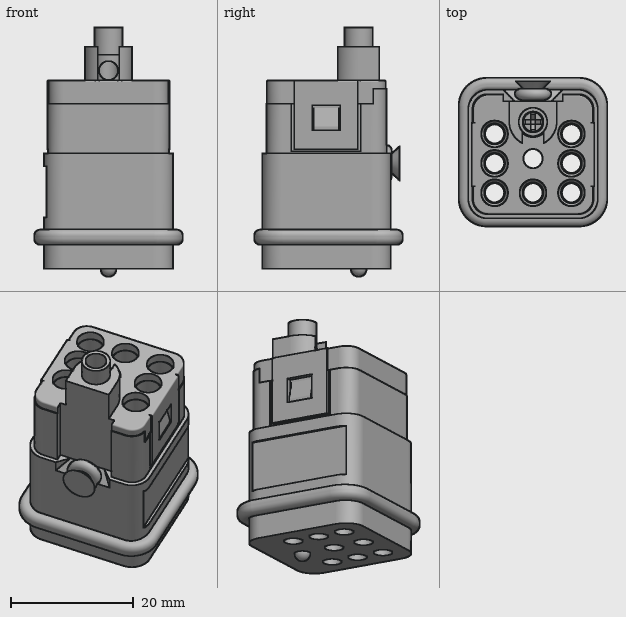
import cadquery as cq
import math

housing_y = -0.33
corner_centre = 7.35
base_x, base_y, base_top = 21.12, 21.0, 18.85
upper_x, upper_y, upper_top = 19.8, 19.6, 29.4
cap_x, cap_front, cap_back = 19.55, -10.1, 9.35
cap_bottom, housing_top = 26.95, 30.75
cap_edge_round = 0.3
cap_corner_radius = cap_x / 2 - corner_centre
wall_strip_y = 7.3

seal_size, seal_corner_radius = 24.3, 4.65
seal_width, seal_bottom, seal_height = 2.05, 3.9, 2.52
seal_outer_round, seal_inner_round = 1.05, 0.65

hole_pitch_x, hole_pitch_y = 6.25, 4.8
middle_row_y = -1.85
contact_top_diameter, contact_top_depth = 4.4, 1.6
contact_mid_diameter, contact_mid_depth = 4.3, 4.9
contact_cone_end_diameter, contact_cone_height = 3.4, 0.8
through_diameter = 3.1
centre_hole_y = -1.05

earth_y = 4.92
clamp_radius, clamp_back, clamp_top = 3.85, 8.3, 36.25
clamp_slot_width = 3.55
tube_diameter, tube_bore, tube_top = 4.65, 3.4, 39.4
sleeve_diameter, sleeve_top = 4.95, 34.92
cross_hole_diameter, cross_hole_z = 3.1, 32.35
screw_face_z, screw_edge_chamfer = 30.52, 0.12
drive_length, drive_width, drive_depth = 2.52, 0.77, 1.0
pin_diameter = 2.6

tab_face_x = 10.0
tab_front, tab_back, tab_bottom = -5.58, 4.75, 19.55
groove_width, groove_bottom_width, groove_depth = 0.53, 0.33, 0.35
window_front, window_back, window_bottom, window_top = -2.7, 1.9, 22.63, 26.7
window_depth = 0.9
latch_side_gap, latch_top_gap = 0.25, 0.5
latch_lip_height, latch_lip_setback = 0.55, 0.12

label_front, label_back, label_bottom, label_top = -9.25, 8.45, 8.4, 16.73
label_depth = 0.5

notch_width = 9.65
pocket_inner_width = 6.02
screw_z = 17.2
washer_diameter, washer_front, washer_back = 6.02, 8.45, 10.35
screw_head_diameter, screw_neck_diameter, screw_head_y = 5.6, 3.3, 11.6


def span_box(x0, x1, y0, y1, z0, z1):
    """Box between the given limits."""
    return cq.Workplane("XY").box(x1 - x0, y1 - y0, z1 - z0, centered=False).translate((x0, y0, z0))


def rounded_block(size_x, y0, y1, z0, z1, radius):
    """Block with round vertical edges, centred on X."""
    return span_box(-size_x / 2, size_x / 2, y0, y1, z0, z1).edges("|Z").fillet(radius)


def upright_cylinder(x, y, diameter, z0, z1):
    """Vertical cylinder between two heights."""
    return cq.Workplane("XY", origin=(x, y, z0)).circle(diameter / 2).extrude(z1 - z0)


def both_sides(shape):
    """The shape together with its mirror image across the YZ plane."""
    return shape.union(shape.mirror("YZ"))


def make_housing():
    """Base, upper body and cap."""
    base = rounded_block(base_x, housing_y - base_y / 2, housing_y + base_y / 2, 0, base_top,
                         base_x / 2 - corner_centre)
    upper = rounded_block(upper_x, housing_y - upper_y / 2, housing_y + upper_y / 2, 0, upper_top,
                          upper_x / 2 - corner_centre)
    upper = upper.cut(span_box(-base_x, base_x, -base_y, wall_strip_y, cap_bottom, upper_top))
    cap = rounded_block(cap_x, cap_front, cap_back, 0, housing_top, cap_corner_radius)
    cap = cap.faces(">Z").edges().fillet(cap_edge_round)
    return base.union(upper).union(cap)


def make_seal():
    """Closed band with rounded inner and outer edges."""
    outer = cq.Workplane("XY").box(seal_size, seal_size, seal_height).edges("|Z").fillet(seal_corner_radius)
    outer = outer.faces("|Z").edges().fillet(seal_outer_round)
    opening_size = seal_size - 2 * seal_width
    opening = cq.Workplane("XY").box(opening_size, opening_size, seal_height)
    opening = opening.edges("|Z").fillet(seal_corner_radius - seal_width)
    band = outer.cut(opening)
    reach = opening_size / 2 + seal_inner_round / 2
    inner_edges = cq.selectors.BoxSelector((-reach, -reach, -seal_height), (reach, reach, seal_height))
    band = band.faces("|Z").edges(inner_edges).fillet(seal_inner_round)
    return band.translate((0, 0, seal_bottom + seal_height / 2))


def latch_clearance():
    """Recess below the cap on -X; the latch tab fills all but a U-shaped groove at its edges."""
    floor_x = -upper_x / 2 + groove_depth
    return span_box(-tab_face_x, floor_x, tab_front - groove_width, tab_back + groove_width,
                    tab_bottom - groove_bottom_width, cap_bottom)


def latch_tab():
    """Latch tab on the -X side with a window that holds a ramped nose."""
    root_x = -cap_x / 2 + cap_edge_round + groove_depth
    tab = span_box(-tab_face_x, root_x, tab_front, tab_back, tab_bottom, housing_top)
    return tab.faces(">Z").edges("<X").fillet(cap_edge_round)


def latch_window():
    """Space in the -X window around its ramped nose."""
    floor_x = -tab_face_x + window_depth
    window = span_box(-tab_face_x, floor_x, window_front, window_back, window_bottom, window_top)
    lip_x = -tab_face_x + latch_lip_setback
    nose = (
        cq.Workplane("XZ", origin=(0, window_back - latch_side_gap, 0))
        .polyline([
            (floor_x, window_bottom),
            (lip_x, window_bottom),
            (lip_x, window_bottom + latch_lip_height),
            (floor_x, window_top - latch_top_gap),
        ])
        .close()
        .extrude(window_back - window_front - 2 * latch_side_gap)
    )
    return window.cut(nose)


def label_recess():
    """Shallow rectangular recess in the -X side of the base."""
    face_x = -base_x / 2
    return span_box(face_x, face_x + label_depth, label_front, label_back, label_bottom, label_top)


def screw_notch():
    """Notch in the +Y wall above the base, with a flared sloping pocket in the base below it."""
    outer_y = housing_y + base_y / 2
    half_width = notch_width / 2
    notch = span_box(-half_width, half_width, clamp_back, outer_y, base_top, housing_top)
    pocket = (
        cq.Workplane("XY")
        .polyline([
            (-pocket_inner_width / 2, clamp_back),
            (pocket_inner_width / 2, clamp_back),
            (half_width, outer_y),
            (-half_width, outer_y),
        ])
        .close()
        .extrude(base_top)
    )
    drop = outer_y - clamp_back
    wedge = (
        cq.Workplane("YZ", origin=(-half_width, 0, 0))
        .polyline([(clamp_back, base_top), (outer_y, base_top), (outer_y, base_top - drop)])
        .close()
        .extrude(notch_width)
    )
    return notch.union(pocket.intersect(wedge))


def side_screw():
    """Round-edged washer and conical screw head along +Y."""
    round_radius = (washer_back - washer_front) / 2
    washer_middle = washer_front + round_radius
    diagonal = round_radius * math.sqrt(0.5)
    core_radius = washer_diameter / 2 - round_radius
    profile = (
        cq.Workplane("XY")
        .moveTo(0, washer_front - round_radius)
        .lineTo(core_radius, washer_front - round_radius)
        .lineTo(core_radius, washer_front)
        .threePointArc(
            (core_radius + diagonal, washer_middle - diagonal),
            (washer_diameter / 2, washer_middle),
        )
        .threePointArc(
            (core_radius + diagonal, washer_middle + diagonal),
            (core_radius, washer_back),
        )
        .lineTo(screw_neck_diameter / 2, washer_back)
        .lineTo(screw_head_diameter / 2, screw_head_y)
        .lineTo(0, screw_head_y)
        .close()
    )
    return profile.revolve(360, (0, 0, 0), (0, 1, 0)).translate((0, 0, screw_z))


def contact_hole(x, y):
    """Through hole with a wide mouth that narrows in a cone."""
    step_z = housing_top - contact_top_depth
    cone_top = housing_top - contact_mid_depth
    cone_bottom = cone_top - contact_cone_height
    profile = (
        cq.Workplane("XZ")
        .polyline([
            (0, 0),
            (through_diameter / 2, 0),
            (through_diameter / 2, cone_bottom),
            (contact_cone_end_diameter / 2, cone_bottom),
            (contact_mid_diameter / 2, cone_top),
            (contact_mid_diameter / 2, step_z),
            (contact_top_diameter / 2, step_z),
            (contact_top_diameter / 2, housing_top),
            (0, housing_top),
        ])
        .close()
    )
    return profile.revolve(360, (0, 0, 0), (0, 1, 0)).translate((x, y, 0))


def contact_holes():
    """Three rows of contact holes; the earth contact takes the place of the +Y middle one."""
    holes = upright_cylinder(0, centre_hole_y, through_diameter, 0, housing_top)
    for column in (-1, 0, 1):
        for row in (-1, 0, 1):
            if column == 0 and row >= 0:
                continue
            holes = holes.union(contact_hole(column * hole_pitch_x, middle_row_y + row * hole_pitch_y))
    return holes


def earth_contact():
    """Slotted clamp block with the wire tube, its lower sleeve and a hole through their front."""
    block = upright_cylinder(0, earth_y, 2 * clamp_radius, housing_top, clamp_top)
    block = block.union(span_box(-clamp_radius, clamp_radius, earth_y, clamp_back, housing_top, clamp_top))
    block = block.intersect(span_box(-clamp_radius, clamp_radius, 0, clamp_back, housing_top, clamp_top))
    half_slot = clamp_slot_width / 2
    block = block.cut(
        span_box(-half_slot, half_slot, earth_y - clamp_radius, earth_y, housing_top, clamp_top)
    )
    sleeve = upright_cylinder(0, earth_y, sleeve_diameter, housing_top, sleeve_top)
    tube = upright_cylinder(0, earth_y, tube_diameter, housing_top, tube_top)
    cross_hole = (
        cq.Workplane("XZ", origin=(0, earth_y, cross_hole_z))
        .circle(cross_hole_diameter / 2)
        .extrude(clamp_radius)
    )
    return block.union(sleeve).union(tube).cut(cross_hole)


def earth_bore():
    """Space in the wire tube above the screw, down into the screw's cross recess."""
    bore = upright_cylinder(0, earth_y, tube_bore, screw_face_z - screw_edge_chamfer, tube_top)
    screw = upright_cylinder(0, earth_y, tube_bore, screw_face_z - drive_depth, screw_face_z)
    screw = screw.faces(">Z").chamfer(screw_edge_chamfer)
    bore = bore.cut(screw)
    arm = (
        cq.Workplane("XZ", origin=(0, drive_width / 2, screw_face_z))
        .polyline([
            (-drive_length / 2, 0),
            (drive_length / 2, 0),
            (drive_width / 2, -drive_depth),
            (-drive_width / 2, -drive_depth),
        ])
        .close()
        .extrude(drive_width)
    )
    drive = arm.union(arm.rotate((0, 0, 0), (0, 0, 1), 90)).translate((0, earth_y, 0))
    return bore.union(drive)


def pin_tip():
    """Round tip of the earth pin below the base."""
    return cq.Workplane("XY").sphere(pin_diameter / 2).translate((0, earth_y, 0))


result = make_housing().cut(both_sides(latch_clearance())).union(both_sides(latch_tab()))
result = result.cut(both_sides(latch_window())).cut(label_recess()).cut(screw_notch())
result = result.union(make_seal()).union(side_screw()).cut(contact_holes())
result = result.union(earth_contact()).cut(earth_bore()).union(pin_tip())